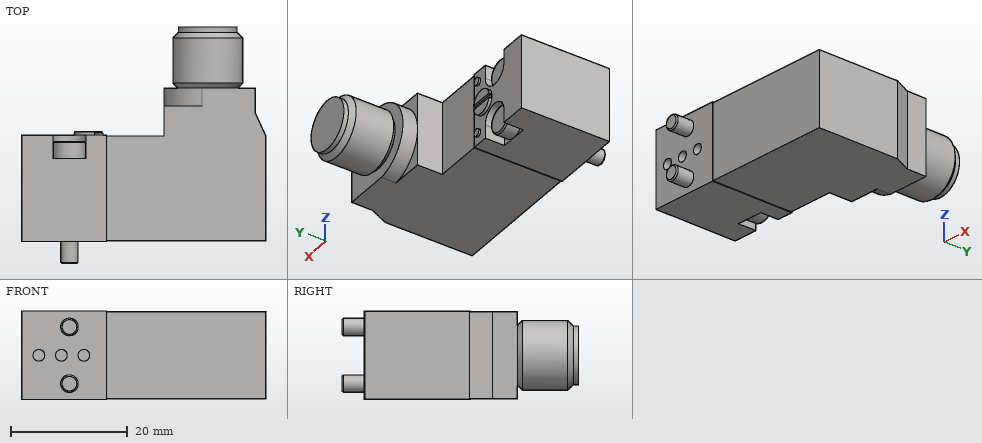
import cadquery as cq

BLOCK_WIDTH = 14.55
BLOCK_DEPTH = 18.2
BLOCK_HEIGHT = 15.2

HOUSING_RIGHT = 41.85
HOUSING_HEIGHT = 14.95
HOUSING_FRONT = 0.13
HOUSING_BACK = 18.1
SHOULDER_BACK = 26.25
SHOULDER_LEFT = 24.35
SHOULDER_RIGHT = 40.05
SLOPE_BACK = 21.97
ROUNDED_LENGTH = 3.0
ROUNDED_RADIUS = 7.55

PLUG_X = SHOULDER_LEFT + ROUNDED_RADIUS
PLUG_DIAMETER = 12.0
PLUG_ROOT_DIAMETER = 10.3
PLUG_TIP_DIAMETER = 10.1
PLUG_LENGTH = 10.5
PLUG_ROOT_TAPER = 0.88
PLUG_TIP_TAPER = 0.95
PLUG_TIP_LENGTH = 0.9

SCREW_X = 8.2
SCREW_Z = 4.85
SCREW_DIAMETER = 3.0
SCREW_PROTRUSION = 3.8
SCREW_CHAMFER = 0.25
HEAD_DIAMETER = 5.5
HEAD_HEIGHT = 2.95
HEAD_CHAMFER = 0.25
POCKET_WIDTH = 5.7
POCKET_DEPTH = 3.98

PORT_DIAMETER = 2.0
PORT_DEPTH = 2.1
PORT_PITCH = 3.85
PORT_MIDDLE_X = 6.82

BUTTON_X = 11.43
BUTTON_DIAMETER = 4.8
BUTTON_HEIGHT = 0.6
BUTTON_SLOT_WIDTH = 0.85
BUTTON_SLOT_DEPTH = 0.38
PEG_X = 13.22
PEG_Z = 5.3
PEG_DIAMETER = 1.5
PEG_HEIGHT = 0.38


def box(x_min, x_max, y_min, y_max, z_min, z_max):
    """Box between the given limits."""
    solid = cq.Workplane("XY").box(x_max - x_min, y_max - y_min, z_max - z_min, centered=False)
    return solid.translate((x_min, y_min, z_min))


def rod(x, z, diameter, y_start, y_end):
    """Cylinder along Y."""
    base = cq.Workplane("XZ", origin=(x, y_start, z))
    return base.circle(diameter / 2).extrude(y_start - y_end)


def make_housing():
    """Stepped housing with one corner cut and a rounded left end at the plug."""
    half_height = HOUSING_HEIGHT / 2
    rounded_front = SHOULDER_BACK - ROUNDED_LENGTH
    outline = [
        (BLOCK_WIDTH, HOUSING_FRONT),
        (HOUSING_RIGHT, HOUSING_FRONT),
        (HOUSING_RIGHT, HOUSING_BACK),
        (SHOULDER_RIGHT, SLOPE_BACK),
        (SHOULDER_RIGHT, SHOULDER_BACK),
        (SHOULDER_LEFT, SHOULDER_BACK),
        (SHOULDER_LEFT, HOUSING_BACK),
        (BLOCK_WIDTH, HOUSING_BACK),
    ]
    body = cq.Workplane("XY").polyline(outline).close().extrude(half_height, both=True)
    left_end = box(SHOULDER_LEFT, PLUG_X, rounded_front, SHOULDER_BACK, -half_height, half_height)
    round_end = rod(PLUG_X, 0, 2 * ROUNDED_RADIUS, rounded_front, SHOULDER_BACK)
    return body.cut(left_end.cut(round_end))


def make_plug():
    """Plug turned about its axis, tapered at the root and ahead of its tip."""
    radius = PLUG_DIAMETER / 2
    root_radius = PLUG_ROOT_DIAMETER / 2
    tip_radius = PLUG_TIP_DIAMETER / 2
    tip_start = PLUG_LENGTH - PLUG_TIP_LENGTH
    profile = [
        (0, 0),
        (root_radius, 0),
        (radius, PLUG_ROOT_TAPER),
        (radius, tip_start - PLUG_TIP_TAPER),
        (tip_radius, tip_start),
        (tip_radius, PLUG_LENGTH),
        (0, PLUG_LENGTH),
    ]
    plug = cq.Workplane("XY").polyline(profile).close().revolve(360, (0, 0, 0), (0, 1, 0))
    return plug.translate((PLUG_X, SHOULDER_BACK, 0))


def make_screw_pocket(side):
    """Round-bottomed pocket, open at the back and at the top or bottom."""
    floor_y = BLOCK_DEPTH - POCKET_DEPTH
    z_limits = sorted((side * SCREW_Z, side * BLOCK_HEIGHT / 2))
    half_width = POCKET_WIDTH / 2
    mouth = box(SCREW_X - half_width, SCREW_X + half_width, floor_y, BLOCK_DEPTH, *z_limits)
    return rod(SCREW_X, side * SCREW_Z, POCKET_WIDTH, floor_y, BLOCK_DEPTH).union(mouth)


def make_screw(side):
    """Screw from its head on the pocket floor to its tip ahead of the block."""
    floor_y = BLOCK_DEPTH - POCKET_DEPTH
    z = side * SCREW_Z
    shank = rod(SCREW_X, z, SCREW_DIAMETER, -SCREW_PROTRUSION, floor_y)
    shank = shank.faces("<Y").chamfer(SCREW_CHAMFER)
    head = rod(SCREW_X, z, HEAD_DIAMETER, floor_y, floor_y + HEAD_HEIGHT)
    return shank.union(head.faces(">Y").chamfer(HEAD_CHAMFER))


def make_button():
    """Round button with a driver slot along X."""
    top_y = BLOCK_DEPTH + BUTTON_HEIGHT
    radius = BUTTON_DIAMETER / 2
    half_slot = BUTTON_SLOT_WIDTH / 2
    button = rod(BUTTON_X, 0, BUTTON_DIAMETER, BLOCK_DEPTH, top_y)
    slot = box(BUTTON_X - radius, BUTTON_X + radius, top_y - BUTTON_SLOT_DEPTH, top_y, -half_slot, half_slot)
    return button.cut(slot)


half_block = BLOCK_HEIGHT / 2
result = box(0, BLOCK_WIDTH, 0, BLOCK_DEPTH, -half_block, half_block)
result = result.union(make_housing()).union(make_plug()).union(make_button())

for side in (-1, 1):
    result = result.cut(make_screw_pocket(side)).union(make_screw(side))
    result = result.union(rod(PEG_X, side * PEG_Z, PEG_DIAMETER, BLOCK_DEPTH, BLOCK_DEPTH + PEG_HEIGHT))

for step in (-1, 0, 1):
    result = result.cut(rod(PORT_MIDDLE_X + step * PORT_PITCH, 0, PORT_DIAMETER, 0, PORT_DEPTH))